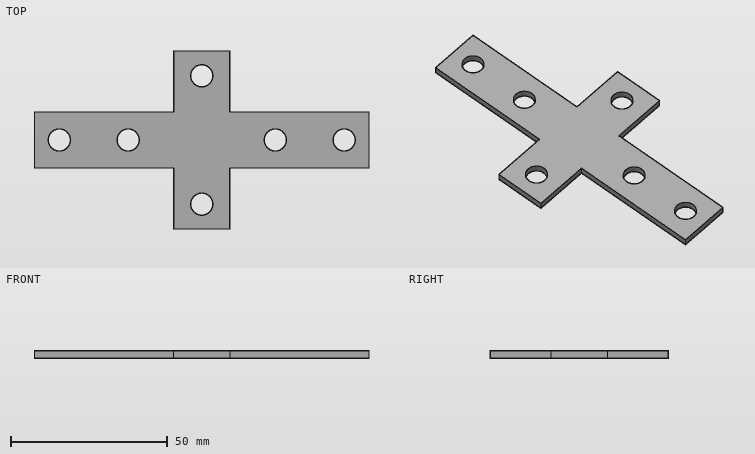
import cadquery as cq

length_x = 107.0
length_y = 57.0
thickness = 2.5
arm_width = 18.0

hole_diameter = 7.0
end_margin = 8.0
long_arm_pitch = 22.0

outer_x = length_x / 2 - end_margin
inner_x = outer_x - long_arm_pitch
outer_y = length_y / 2 - end_margin


def plate_bar(size_x, size_y):
    """Flat bar centred on the Z axis, resting on Z = 0."""
    return cq.Workplane("XY").box(size_x, size_y, thickness, centered=(True, True, False))


def cross_plate():
    """Two bars crossing at right angles in one plane."""
    return plate_bar(length_x, arm_width).union(plate_bar(arm_width, length_y))


def drill_holes(plate):
    """Through holes placed symmetrically along both bars."""
    centres = []
    for side in (-1, 1):
        centres.append((side * outer_x, 0))
        centres.append((side * inner_x, 0))
        centres.append((0, side * outer_y))
    return plate.faces(">Z").workplane(origin=(0, 0, 0)).pushPoints(centres).hole(hole_diameter)


result = drill_holes(cross_plate())